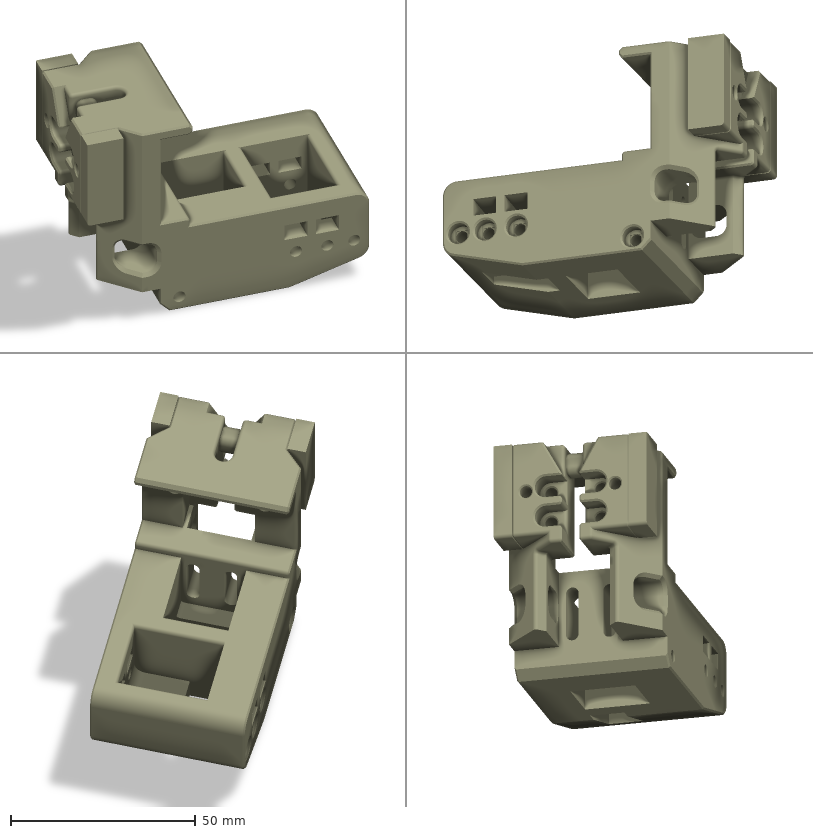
import cadquery as cq
import math


HALF_WIDTH = 43.2 / 2
LENGTH = 81.1
HEIGHT = 59.8
EDGE_CHAMFER = 0.5
EDGE_FILLET = 1.0
OVERSHOOT = 0.8
PICK_MARGIN = 0.1

ARM_TOP = 26.9
ARM_CORNER_RADIUS = 4.0
BASE_SLOPE = math.radians(15)
BASE_SLOPE_START = 58.2
WALL_FRONT = 21.1
COLUMN_BACK = 21.3
NOSE_CHAMFER = 2.7
STEP_BACK = 29.5
STEP_TOP = 29.35
PLATE_BACK = 30.4
PLATE_CHAMFER = 1.0
PLATE_UNDERSIDE = 56.75
LEG_BOTTOM = 8.0

SLANT_BACK = 15.7
SLANT_TIP_X = HALF_WIDTH - SLANT_BACK
HEAD_HALF_WIDTH = 16.45
HEAD_BOTTOM = 33.25
ROOF = 30.6
LEG_INNER_X = 9.0
LEG_TIP_X = 11.5
GAP_CORNER_FILLET = 0.7
LEG_TIP_Y = LEG_TIP_X - SLANT_TIP_X

SLOT_HALF_WIDTH = 4.95 / 2
SLOT_END = 18.25
VEE_DEPTH = 3.25
VEE_TOP_HALF_WIDTH = 7.8
VEE_APEX = 50.3

RECESS_HALF_WIDTH = 10.1
RECESS_FRONT = 13.4

BOLT_DIAMETER = 3.4
HEAD_DIAMETER = 6.0
POCKET_X = 7.05
POCKET_HEIGHTS = (46.95, 38.4)
POCKET_DEPTH = 6.0
SIDE_HOLE_X = 12.6
SIDE_HOLE_Z = 45.9
HOLE_CHAMFER = 0.4

FINGER_Y = 15.2
FINGER_Z = 18.25
FINGER_LENGTH = 10.2
FINGER_HEIGHT = 9.1
FINGER_RADIUS = 3.0
FINGER_CHAMFER = 1.0

OBLONG_X = 5.3
OBLONG_WIDTH = 3.6
OBLONG_BOTTOM = 9.6
OBLONG_TOP = 24.8

WINDOW_LEFT_X = 9.65
REAR_WINDOW_RIGHT_X = 15.5
REAR_WINDOW = (54.9, 73.9)
FRONT_WINDOW_RIGHT_X = 8.6
FRONT_WINDOW = (34.9, 49.8)
FLOOR = 6.5
REAR_FLOOR_FILLET = 3.0
FRONT_FLOOR_FILLET = 2.35

REAR_BOLT_Z = 11.7
CROSS_BOLTS = ((76.6, REAR_BOLT_Z), (68.9, REAR_BOLT_Z), (59.9, REAR_BOLT_Z), (26.4, 4.2))
COUNTERBORE_DEPTH = 3.0
BRIDGE_STEP = 0.25
TIE_HOLE_YS = (68.9, 59.9)
TIE_HOLE_LENGTH = 6.6
TIE_HOLE_BOTTOM = 16.1
TIE_HOLE_INNER_TOP = 20.0
TIE_HOLE_OUTER_TOP = 20.9

PAD_DEPTH = 10.4
PEG_SIZE = 6.0
PEG_RADIUS = 2.0
PEG_TIP_SIZE = 6.2
PEG_TIP_LENGTH = 2.0
PEG_Y = 7.9
PEG_Z = 54.9


def box(x, y, z):
    """Box from three (low, high) ranges."""
    size = [high - low for low, high in (x, y, z)]
    return cq.Workplane("XY").box(*size, centered=False).translate((x[0], y[0], z[0]))


def prism(points, z):
    """Upright prism over an (X, Y) polygon between two heights."""
    return cq.Workplane("XY").workplane(offset=z[0]).polyline(points).close().extrude(z[1] - z[0])


def bar_along_x(sketch_yz, x):
    """Move a sketch drawn on the YZ plane to x[0] and extrude it to x[1]."""
    return sketch_yz.extrude(x[1] - x[0]).translate((x[0], 0, 0))


def near(solid, *points):
    """Select the edge nearest each point."""
    edges = []
    for point in points:
        edges += solid.edges(cq.selectors.NearestToPointSelector(point)).vals()
    return solid.newObject(edges)


def side_body():
    """Side outline of the whole frame, extruded over the right half."""
    slope_rise = (LENGTH - BASE_SLOPE_START) * math.tan(BASE_SLOPE)
    outline = [
        (0, LEG_BOTTOM),
        (WALL_FRONT, LEG_BOTTOM),
        (WALL_FRONT, NOSE_CHAMFER),
        (WALL_FRONT + NOSE_CHAMFER, 0),
        (BASE_SLOPE_START, 0),
        (LENGTH, slope_rise),
        (LENGTH, ARM_TOP),
        (STEP_BACK, ARM_TOP),
        (STEP_BACK, STEP_TOP),
        (COLUMN_BACK, STEP_TOP),
        (COLUMN_BACK, PLATE_UNDERSIDE),
        (PLATE_BACK, PLATE_UNDERSIDE),
        (PLATE_BACK, HEIGHT),
        (0, HEIGHT),
    ]
    body = cq.Workplane("YZ").polyline(outline).close().extrude(HALF_WIDTH)
    mid = HALF_WIDTH / 2
    body = near(body, (mid, LENGTH, slope_rise), (mid, LENGTH, ARM_TOP)).fillet(ARM_CORNER_RADIUS)
    body = near(body, (mid, STEP_BACK, STEP_TOP)).fillet(EDGE_FILLET)
    return near(body, (mid, PLATE_BACK, HEIGHT), (mid, PLATE_BACK, PLATE_UNDERSIDE)).chamfer(PLATE_CHAMFER)


def column_cuts(body):
    """Cut the slant, the head sides and the gap between the legs, then round and chamfer the edges."""
    reach = HALF_WIDTH + OVERSHOOT
    slant = [(SLANT_TIP_X - OVERSHOOT, -OVERSHOOT), (reach, SLANT_BACK + OVERSHOOT), (reach, -OVERSHOOT)]
    body = body.cut(prism(slant, (LEG_BOTTOM - OVERSHOOT, HEAD_BOTTOM)))
    slant_at_head = HEAD_HALF_WIDTH - SLANT_TIP_X
    head_side = [
        (HEAD_HALF_WIDTH, -OVERSHOOT),
        (HEAD_HALF_WIDTH, slant_at_head),
        (reach, SLANT_BACK + OVERSHOOT),
        (reach, -OVERSHOOT),
    ]
    body = body.cut(prism(head_side, (HEAD_BOTTOM, HEIGHT + OVERSHOOT)))
    gap_mouth = LEG_TIP_X + LEG_TIP_Y + OVERSHOOT
    throat_y = LEG_TIP_X + LEG_TIP_Y - LEG_INNER_X
    gap = [
        (0, -OVERSHOOT),
        (gap_mouth, -OVERSHOOT),
        (LEG_INNER_X, throat_y),
        (LEG_INNER_X, WALL_FRONT),
        (0, WALL_FRONT),
    ]
    gap_cutter = near(
        prism(gap, (LEG_BOTTOM - OVERSHOOT, ROOF)),
        ((LEG_TIP_X + LEG_INNER_X) / 2, (LEG_TIP_Y + throat_y) / 2, ROOF),
        (LEG_INNER_X, (throat_y + WALL_FRONT) / 2, ROOF),
    ).fillet(GAP_CORNER_FILLET)
    body = body.cut(gap_cutter)
    body = near(
        body,
        (LEG_TIP_X, LEG_TIP_Y, (LEG_BOTTOM + ROOF) / 2),
        ((LEG_TIP_X + SLANT_TIP_X) / 2, LEG_TIP_Y / 2, ROOF),
        (SLANT_TIP_X / 2, 0, ROOF),
        (SLANT_TIP_X, 0, (ROOF + HEAD_BOTTOM) / 2),
        ((SLANT_TIP_X + HEAD_HALF_WIDTH) / 2, 0, HEAD_BOTTOM),
    ).fillet(EDGE_FILLET)
    slant_middle = (HALF_WIDTH + HEAD_HALF_WIDTH) / 2
    front_edges = near(
        body,
        (HEAD_HALF_WIDTH / 2, 0, HEIGHT),
        (HEAD_HALF_WIDTH, 0, (HEAD_BOTTOM + HEIGHT) / 2),
        (HEAD_HALF_WIDTH, slant_at_head / 2, HEIGHT),
        (slant_middle, slant_middle - SLANT_TIP_X, HEIGHT),
    ).vals()
    rim = [
        edge
        for edge in body.faces(">X").edges().vals()
        if edge.Center().y > SLANT_BACK + PICK_MARGIN
        and (edge.Center().y > WALL_FRONT + PICK_MARGIN or edge.Center().z > STEP_TOP)
    ]
    return body.newObject(front_edges + rim).chamfer(EDGE_CHAMFER)


def cable_slot(body):
    """Round-ended slot open to the front, with a vee lead-in at the top."""
    slot_centre = SLOT_END - SLOT_HALF_WIDTH
    slot = (cq.Workplane("XY").workplane(offset=ROOF - OVERSHOOT)
            .moveTo(-SLOT_HALF_WIDTH, -OVERSHOOT).lineTo(-SLOT_HALF_WIDTH, slot_centre)
            .threePointArc((0, SLOT_END), (SLOT_HALF_WIDTH, slot_centre))
            .lineTo(SLOT_HALF_WIDTH, -OVERSHOOT).close()
            .extrude(HEIGHT - ROOF + 2 * OVERSHOOT))
    vee = (cq.Workplane("XZ")
           .polyline([(0, VEE_APEX), (SLOT_HALF_WIDTH, VEE_APEX), (VEE_TOP_HALF_WIDTH, HEIGHT),
                      (VEE_TOP_HALF_WIDTH, HEIGHT + OVERSHOOT), (0, HEIGHT + OVERSHOOT)])
           .close().extrude(-VEE_DEPTH))
    body = body.cut(slot).cut(vee)
    arc_x = SLOT_HALF_WIDTH * math.sin(math.pi / 4)
    body = near(
        body,
        (SLOT_HALF_WIDTH, slot_centre / 2, HEIGHT),
        (arc_x, slot_centre + arc_x, HEIGHT),
        ((SLOT_HALF_WIDTH + VEE_TOP_HALF_WIDTH) / 2, VEE_DEPTH, HEIGHT),
        (SLOT_HALF_WIDTH, VEE_DEPTH, (VEE_APEX + HEIGHT) / 2),
    ).fillet(EDGE_FILLET)
    vee_middle = ((SLOT_HALF_WIDTH + VEE_TOP_HALF_WIDTH) / 2, 0, (VEE_APEX + HEIGHT) / 2)
    return near(body, vee_middle).chamfer(EDGE_CHAMFER)


def front_hole(x, z, mouth_y):
    """Bolt hole along Y with a countersunk mouth."""
    radius = BOLT_DIAMETER / 2
    hole = cq.Workplane("XZ").center(x, z).circle(radius).extrude(-COLUMN_BACK - OVERSHOOT)
    mouth = cq.Solid.makeCone(radius + HOLE_CHAMFER, radius, HOLE_CHAMFER,
                              pnt=cq.Vector(x, mouth_y, z), dir=cq.Vector(0, 1, 0))
    return hole.union(cq.Workplane(obj=mouth))


def rear_recess():
    """Hollow in the back of the column, open to the gap between the legs."""
    return box((-OVERSHOOT, RECESS_HALF_WIDTH), (RECESS_FRONT, COLUMN_BACK), (STEP_TOP, PLATE_UNDERSIDE))


def screw_pocket(body, z, rounded_corners, rounded_floor):
    """Round-ended pocket opening into the slot, with a bolt hole in its floor."""
    radius = HEAD_DIAMETER / 2
    bottom, top = z - radius, z + radius
    pocket = (cq.Workplane("XZ").moveTo(0, bottom).lineTo(POCKET_X, bottom)
              .threePointArc((POCKET_X + radius, z), (POCKET_X, top)).lineTo(0, top).close()
              .extrude(-POCKET_DEPTH))
    body = body.cut(pocket)
    mid_y = POCKET_DEPTH / 2
    body = near(body, *[(SLOT_HALF_WIDTH, mid_y, z + side * radius) for side in rounded_corners]
                ).fillet(EDGE_FILLET)
    if rounded_floor:
        body = near(body, (SLOT_HALF_WIDTH, POCKET_DEPTH, z)).fillet(EDGE_FILLET)
    body = near(body, (POCKET_X + radius, 0, z)).chamfer(EDGE_CHAMFER)
    return body.cut(front_hole(POCKET_X, z, POCKET_DEPTH))


def finger_hole(body):
    """Rounded opening through the leg, chamfered around its outer mouth."""
    opening = (cq.Workplane("YZ").center(FINGER_Y, FINGER_Z).rect(FINGER_LENGTH, FINGER_HEIGHT)
               .extrude(HALF_WIDTH + OVERSHOOT).edges("|X").fillet(FINGER_RADIUS))
    body = body.cut(opening)
    half_length = FINGER_LENGTH / 2 + PICK_MARGIN
    half_height = FINGER_HEIGHT / 2 + PICK_MARGIN
    mouth = cq.selectors.BoxSelector(
        (LEG_TIP_X, FINGER_Y - half_length, FINGER_Z - half_height),
        (HALF_WIDTH + OVERSHOOT, FINGER_Y + half_length, FINGER_Z + half_height),
        boundingbox=True,
    )
    return body.edges(mouth).chamfer(FINGER_CHAMFER)


def oblong_hole():
    """Upright oblong hole through the front wall."""
    height = OBLONG_TOP - OBLONG_BOTTOM
    return (cq.Workplane("XZ").center(OBLONG_X, (OBLONG_BOTTOM + OBLONG_TOP) / 2)
            .slot2D(height, OBLONG_WIDTH, 90).extrude(-STEP_BACK))


def tie_hole(y):
    """Rectangular hole through the arm side, its roof rising outwards."""
    return (cq.Workplane("XZ")
            .polyline([(0, TIE_HOLE_BOTTOM), (HALF_WIDTH, TIE_HOLE_BOTTOM), (HALF_WIDTH, TIE_HOLE_OUTER_TOP),
                       (WINDOW_LEFT_X, TIE_HOLE_INNER_TOP), (0, TIE_HOLE_INNER_TOP)])
            .close().extrude(TIE_HOLE_LENGTH / 2, both=True).translate((0, y, 0)))


def front_cavity():
    """Cavity behind the front wall, its floor rounded into both sides."""
    cavity = box((-WINDOW_LEFT_X, WINDOW_LEFT_X), (STEP_BACK, FRONT_WINDOW[0]), (FLOOR, ARM_TOP + OVERSHOOT))
    return cavity.edges("|Y and <Z").fillet(FRONT_FLOOR_FILLET)


def peg():
    """Rounded square bar from the seam to the pad, very slightly thicker at its tip."""
    def bar(size, start, end):
        return (cq.Workplane("YZ").workplane(offset=start).center(PEG_Y, PEG_Z).rect(size, size)
                .extrude(end - start).edges("|X").fillet(PEG_RADIUS))
    return bar(PEG_TIP_SIZE, 0, PEG_TIP_LENGTH).union(bar(PEG_SIZE, PEG_TIP_LENGTH, HEAD_HALF_WIDTH))


def half_frame():
    """Everything the two halves share, drawn for the right-hand side."""
    body = column_cuts(side_body())
    body = cable_slot(body)
    body = screw_pocket(body, POCKET_HEIGHTS[0], (-1,), rounded_floor=False)
    body = screw_pocket(body, POCKET_HEIGHTS[1], (-1, 1), rounded_floor=True)
    body = body.cut(front_hole(SIDE_HOLE_X, SIDE_HOLE_Z, 0))
    body = finger_hole(body).cut(rear_recess())
    body = body.cut(oblong_hole())
    for y, z in CROSS_BOLTS:
        section = cq.Workplane("YZ").center(y, z).circle(BOLT_DIAMETER / 2)
        body = body.cut(bar_along_x(section, (0, HALF_WIDTH)))
    return body.cut(peg())


def counterbore(y, z):
    """Bolt head recess; its floor narrows to the bolt hole in two thin steps, a band and a square."""
    radius = HEAD_DIAMETER / 2
    floor_x = HALF_WIDTH - COUNTERBORE_DEPTH
    centre = cq.Workplane("YZ").center(y, z)
    recess = bar_along_x(centre.circle(radius), (floor_x, HALF_WIDTH))
    disc = bar_along_x(centre.circle(radius), (floor_x - BRIDGE_STEP, HALF_WIDTH))
    band = bar_along_x(centre.rect(BOLT_DIAMETER, HEAD_DIAMETER), (floor_x - BRIDGE_STEP, HALF_WIDTH))
    square = bar_along_x(centre.rect(BOLT_DIAMETER, BOLT_DIAMETER), (floor_x - 2 * BRIDGE_STEP, HALF_WIDTH))
    mouth = cq.Solid.makeCone(radius + EDGE_CHAMFER, radius, EDGE_CHAMFER,
                              pnt=cq.Vector(HALF_WIDTH, y, z), dir=cq.Vector(-1, 0, 0))
    return recess.union(disc.intersect(band)).union(square).union(cq.Workplane(obj=mouth))


def left_frame():
    """Half with the open window and the bolt heads; built on the right, then mirrored."""
    body = half_frame()
    window_length = (FRONT_WINDOW[0], REAR_WINDOW[1])
    window = box((-OVERSHOOT, WINDOW_LEFT_X), window_length, (-OVERSHOOT, ARM_TOP + OVERSHOOT))
    body = body.cut(window).cut(front_cavity())
    body = near(body, (WINDOW_LEFT_X / 2, REAR_WINDOW[1], ARM_TOP)).fillet(EDGE_FILLET)
    for y in TIE_HOLE_YS:
        body = body.cut(tie_hole(y))
    for y, z in CROSS_BOLTS:
        body = body.cut(counterbore(y, z))
    return body.mirror("YZ")


def right_frame():
    """Half with the cross bar and the floored rear window."""
    body = half_frame()
    bar = box((-WINDOW_LEFT_X, 0.8), (FRONT_WINDOW[1], REAR_WINDOW[0]), (0, ARM_TOP))
    body = body.union(bar)
    rear = box((-OVERSHOOT, REAR_WINDOW_RIGHT_X), REAR_WINDOW, (FLOOR, ARM_TOP + OVERSHOOT))
    rear = rear.edges(">X and <Z").fillet(REAR_FLOOR_FILLET)
    front = box((-OVERSHOOT, FRONT_WINDOW_RIGHT_X), FRONT_WINDOW, (-OVERSHOOT, ARM_TOP + OVERSHOOT))
    lower = front_cavity().intersect(box((-OVERSHOOT, FRONT_WINDOW_RIGHT_X), (0, LENGTH), (0, HEIGHT)))
    body = body.cut(rear).cut(front).cut(lower)
    mid_x = REAR_WINDOW_RIGHT_X / 2
    mid_y = sum(REAR_WINDOW) / 2
    body = near(body,
                (mid_x, REAR_WINDOW[1], ARM_TOP),
                (mid_x, REAR_WINDOW[0], ARM_TOP),
                (REAR_WINDOW_RIGHT_X, mid_y, ARM_TOP),
                (0, FRONT_WINDOW[1], ARM_TOP)).fillet(EDGE_FILLET)
    for y in TIE_HOLE_YS:
        body = body.cut(tie_hole(y))
    return body


def side_pad(mirrored):
    """Block beside the head with a peg that reaches through the frame to the seam."""
    pad = box((HEAD_HALF_WIDTH, HALF_WIDTH), (0, PAD_DEPTH), (HEAD_BOTTOM, HEIGHT))
    pad = pad.edges("<Y and <Z").fillet(EDGE_FILLET)
    pad = pad.union(peg())
    return pad.mirror("YZ") if mirrored else pad


left = left_frame()
right = right_frame()
pads = [side_pad(mirrored).val() for mirrored in (True, False)]
result = cq.Compound.makeCompound([left.val(), right.val(), *pads])